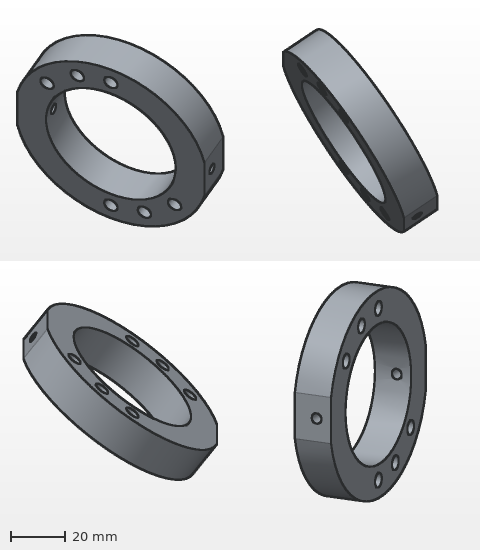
import cadquery as cq

outer_diameter = 80.0
bore_diameter = 54.0
thickness = 15.0
width_across_flats = 78.0

axial_hole_diameter = 5.5
pitch_radius = 33.0
hole_angles = (90.0, 115.0, 143.5)
opposite_turn = 180.0

cross_hole_diameter = 4.0
cross_hole_from_front = 6.0


def cylinder_along_y(diameter):
    """Cylinder spanning the ring thickness, centred on the Y axis."""
    return cq.Workplane("XZ").circle(diameter / 2).extrude(-thickness)


def make_ring():
    """Ring with two flats facing -X and +X."""
    flats_envelope = cq.Workplane("XZ").rect(width_across_flats, outer_diameter).extrude(-thickness)
    disc = cylinder_along_y(outer_diameter).intersect(flats_envelope)
    return disc.cut(cylinder_along_y(bore_diameter))


def cut_axial_holes(body):
    """Cut each hole and its diametrically opposite partner."""
    hole_at_right = cylinder_along_y(axial_hole_diameter).translate((pitch_radius, 0, 0))
    for angle in hole_angles:
        for turn in (angle, angle + opposite_turn):
            body = body.cut(hole_at_right.rotate((0, 0, 0), (0, 1, 0), -turn))
    return body


def cut_cross_hole(body):
    """Cut one straight hole along X through both walls."""
    drill = (
        cq.Workplane("YZ")
        .center(cross_hole_from_front, 0)
        .circle(cross_hole_diameter / 2)
        .extrude(width_across_flats, both=True)
    )
    return body.cut(drill)


result = cut_cross_hole(cut_axial_holes(make_ring()))